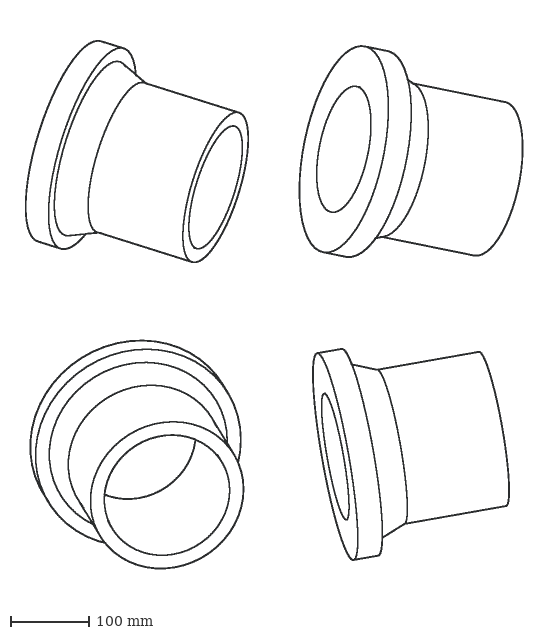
import cadquery as cq

total_length = 205.0
flange_diameter = 268.0
flange_thickness = 32.2
neck_large_diameter = 232.0
neck_length = 40.0
pipe_diameter = 200.0
bore_diameter = 163.5

neck_end = flange_thickness + neck_length

half_section = [
    (0, bore_diameter / 2),
    (0, flange_diameter / 2),
    (flange_thickness, flange_diameter / 2),
    (flange_thickness, neck_large_diameter / 2),
    (neck_end, pipe_diameter / 2),
    (total_length, pipe_diameter / 2),
    (total_length, bore_diameter / 2),
]

result = (
    cq.Workplane("XY")
    .polyline(half_section)
    .close()
    .revolve(360, (0, 0, 0), (1, 0, 0))
)